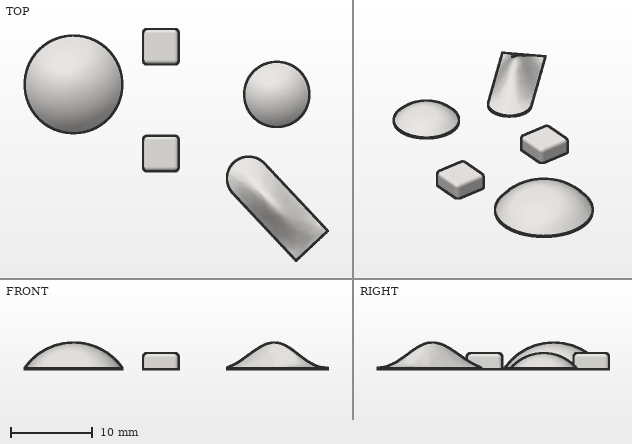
import cadquery as cq
import math

RIM_HEIGHT = 0.2
BODY_HEIGHT = 3.3

LARGE_DOME_DIAMETER = 12.0
SMALL_DOME_RADIUS = 4.0
SMALL_DOME_HEIGHT = 2.0
SMALL_DOME_CENTER = (24.9, -1.23)

BLOCK_WIDTH = 4.4
BLOCK_HEIGHT = 2.0
BLOCK_FILLET = 0.52
BLOCK_X = 10.7
BLOCK_YS = (4.6, -8.48)

RIDGE_RADIUS = 2.68
RIDGE_STRAIGHT = 11.35
RIDGE_ANGLE = -46.8
RIDGE_END_CENTER = (29.23, -19.8)
RIDGE_PEAK_ALONG = 4.8


def make_dome(radius, height, center):
    """Spherical cap standing on a thin cylindrical rim."""
    cap_height = height - RIM_HEIGHT
    sphere_radius = (radius**2 + cap_height**2) / (2 * cap_height)
    middle_angle = (math.pi / 2 + math.asin(1 - cap_height / sphere_radius)) / 2
    arc_middle = (
        sphere_radius * math.cos(middle_angle),
        height - sphere_radius * (1 - math.sin(middle_angle)),
    )
    half_section = (
        cq.Workplane("XZ")
        .lineTo(radius, 0)
        .lineTo(radius, RIM_HEIGHT)
        .threePointArc(arc_middle, (0, height))
        .close()
    )
    return half_section.revolve(360, (0, 0), (0, 1)).translate((*center, 0))


def make_block(y):
    """Square block with rounded upright and top edges and a flat base."""
    return (
        cq.Workplane("XY")
        .box(BLOCK_WIDTH, BLOCK_WIDTH, BLOCK_HEIGHT, centered=(True, True, False))
        .edges("|Z or >Z")
        .fillet(BLOCK_FILLET)
        .translate((BLOCK_X, y, 0))
    )


def make_ridge():
    """Flat-based bar whose top is one smooth surface through the rim and the peak."""
    rim = (
        cq.Workplane("XY")
        .moveTo(RIDGE_STRAIGHT, RIDGE_RADIUS)
        .lineTo(0, RIDGE_RADIUS)
        .threePointArc((-RIDGE_RADIUS, 0), (0, -RIDGE_RADIUS))
        .lineTo(RIDGE_STRAIGHT, -RIDGE_RADIUS)
        .close()
        .extrude(RIM_HEIGHT)
    )
    top_edges = rim.faces(">Z").edges().vals()
    peak = cq.Vector(RIDGE_PEAK_ALONG, 0, BODY_HEIGHT)
    hump = cq.Face.makeNSidedSurface(top_edges, [peak])
    base_faces = rim.faces("not >Z").vals()
    ridge = cq.Solid.makeSolid(cq.Shell.makeShell([*base_faces, hump]))

    angle = math.radians(RIDGE_ANGLE)
    x = RIDGE_END_CENTER[0] - RIDGE_STRAIGHT * math.cos(angle)
    y = RIDGE_END_CENTER[1] - RIDGE_STRAIGHT * math.sin(angle)
    return cq.Workplane(ridge).rotate((0, 0, 0), (0, 0, 1), RIDGE_ANGLE).translate((x, y, 0))


large_dome = make_dome(LARGE_DOME_DIAMETER / 2, BODY_HEIGHT, (0, 0))
small_dome = make_dome(SMALL_DOME_RADIUS, SMALL_DOME_HEIGHT, SMALL_DOME_CENTER)
blocks = [make_block(y) for y in BLOCK_YS]
ridge = make_ridge()

result = cq.Compound.makeCompound(
    [large_dome.val(), small_dome.val(), *[block.val() for block in blocks], ridge.val()]
)